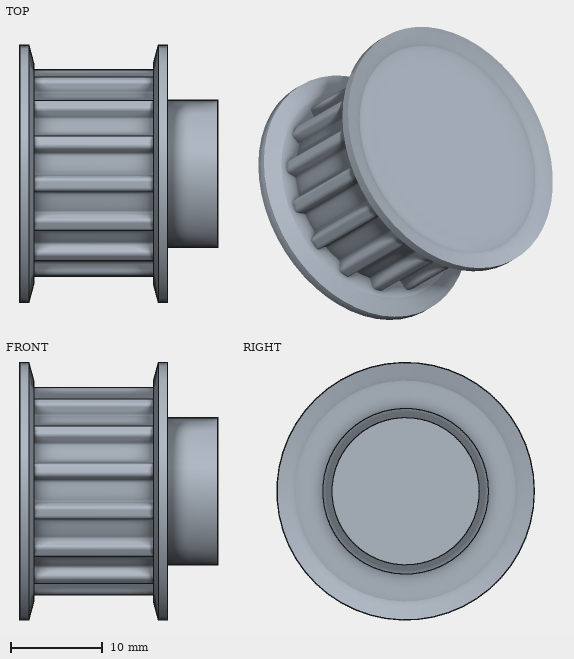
import cadquery as cq
import math

tooth_count = 15
belt_width = 13.0
tip_diameter = 22.65
groove_depth = 1.25
tooth_tip_width = 1.33
tooth_flank_angle = 13.0
tip_fillet = 0.45
root_fillet = 0.3
root_match_tolerance = 0.001

flange_diameter = 28.0
flat_diameter = 24.0
flange_bore = 18.0
flange_thickness = 1.0
dish_angle = 15.0

hub_diameter = 16.0
hub_length = 6.0

tip_radius = tip_diameter / 2
root_radius = tip_radius - groove_depth
tooth_pitch_angle = 360.0 / tooth_count
dish_depth = (flange_diameter - flat_diameter) / 2 * math.tan(math.radians(dish_angle))
seat_length = belt_width + 2 * flange_thickness

first_seat_x = dish_depth
belt_start_x = first_seat_x + flange_thickness
belt_end_x = belt_start_x + belt_width
second_seat_x = belt_end_x + flange_thickness


def axial_cylinder(start_x, diameter, length):
    """Cylinder on the X axis."""
    return cq.Workplane("YZ", origin=(start_x, 0, 0)).circle(diameter / 2).extrude(length)


def make_tooth():
    """Tooth on the +Y side, tapering to an arc on the tip circle; its foot is sunk in the core."""
    half_tip = tooth_tip_width / 2
    tip_corner_y = math.sqrt(tip_radius**2 - half_tip**2)
    foot_y = root_radius - groove_depth
    half_foot = half_tip + (tip_corner_y - foot_y) * math.tan(math.radians(tooth_flank_angle))
    return (
        cq.Workplane("YZ", origin=(belt_start_x, 0, 0))
        .moveTo(foot_y, -half_foot)
        .lineTo(tip_corner_y, -half_tip)
        .threePointArc((tip_radius, 0), (tip_corner_y, half_tip))
        .lineTo(foot_y, half_foot)
        .close()
        .extrude(belt_width)
    )


def make_toothed_section():
    """Core with evenly spaced teeth, rounded at the tips and at the roots."""
    section = axial_cylinder(belt_start_x, 2 * root_radius, belt_width)
    tooth = make_tooth().edges("|X").edges(">Y").fillet(tip_fillet)
    for index in range(tooth_count):
        section = section.union(tooth.rotate((0, 0, 0), (1, 0, 0), index * tooth_pitch_angle))

    def is_root_corner(edge):
        middle = edge.Center()
        return math.isclose(math.hypot(middle.y, middle.z), root_radius, abs_tol=root_match_tolerance)

    return section.edges("|X").filter(is_root_corner).fillet(root_fillet)


def make_pulley():
    """Toothed section with a flange seat at each end and a hub beyond the second seat."""
    seats = axial_cylinder(first_seat_x, flange_bore, seat_length)
    hub = axial_cylinder(second_seat_x, hub_diameter, hub_length)
    return make_toothed_section().union(seats).union(hub)


def make_flange(inner_x, outward):
    """Ring with a conical rim bent away from the teeth; outward is the sign of that X direction."""
    outer_x = inner_x + outward * flange_thickness
    bend = outward * dish_depth
    return (
        cq.Workplane("XY")
        .moveTo(inner_x, flange_bore / 2)
        .lineTo(inner_x, flat_diameter / 2)
        .lineTo(inner_x + bend, flange_diameter / 2)
        .lineTo(outer_x + bend, flange_diameter / 2)
        .lineTo(outer_x, flat_diameter / 2)
        .lineTo(outer_x, flange_bore / 2)
        .close()
        .revolve(360, (0, 0, 0), (1, 0, 0))
    )


pulley = make_pulley()
flanges = [make_flange(inner_x, outward) for inner_x, outward in ((belt_start_x, -1), (belt_end_x, 1))]

result = cq.Compound.makeCompound([pulley.val(), *[flange.val() for flange in flanges]])